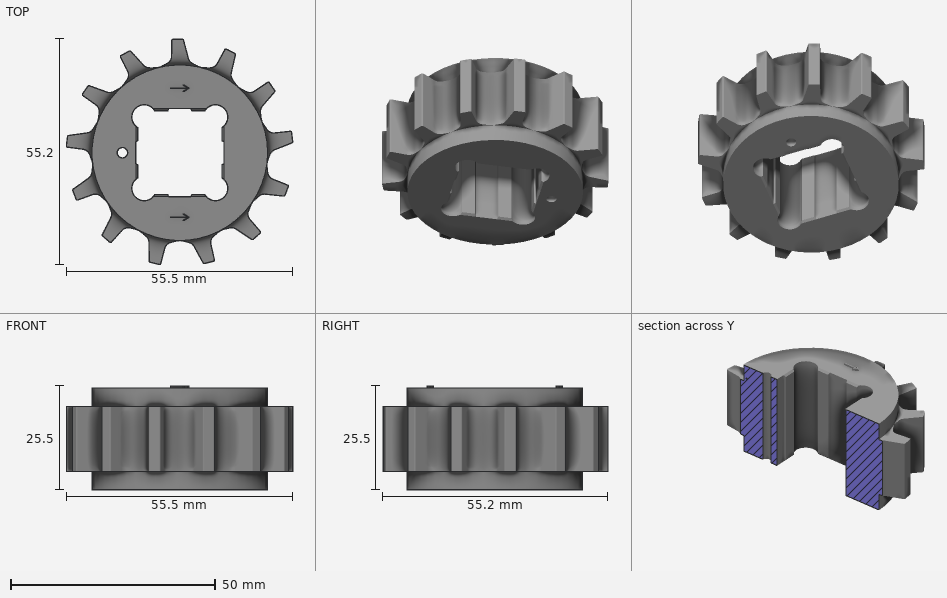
import cadquery as cq
import math

hub_radius = 21.5
hub_height = 25.0
hub_top = hub_height / 2

tooth_count = 13
tooth_pitch = 360 / tooth_count
ring_height = 16.0
tip_radius = 27.8
tip_round = 0.35

drive_flank_tip = 1.98
drive_flank_lean = 0.85
back_flank_tip = 0.87
back_flank_lean = 14.8

gullet_floor_radius = 21.54
gullet_ramp_angle = 13.6
gullet_floor_round = 3.5
gullet_root_round = 2.0

bore_width = 21.55
relief_radius = 3.0
relief_centre = 8.72

pad_depth = 0.5
pad_inner_edge = 2.65
pad_side_slope = 0.3
pad_end_drop = 0.5

index_hole_diameter = 2.5
index_hole_x = -14.05

arrow_length = 4.6
arrow_offset = 15.8
arrow_stroke = 0.2
arrow_barb_thickness = 0.3
arrow_barb_reach = 1.2
arrow_barb_spread = 0.75
arrow_height = 0.5


def tan_deg(angle):
    return math.tan(math.radians(angle))


def turned(point, angle):
    """Turn a point about the axis, counterclockwise in degrees."""
    x, y = point
    c = math.cos(math.radians(angle))
    s = math.sin(math.radians(angle))
    return (x * c - y * s, x * s + y * c)


gullet_apex_radius = gullet_floor_radius - gullet_floor_round * (
    1 / math.cos(math.radians(gullet_ramp_angle)) - 1
)


def root_corner(flank_tip, flank_lean):
    """Where a flank on the +X side of the tooth axis meets the gullet ramp."""
    apex_x, apex_y = turned((0, gullet_apex_radius), -tooth_pitch / 2)
    ramp_slope = tan_deg(gullet_ramp_angle + tooth_pitch / 2)
    flank_slope = tan_deg(flank_lean)
    flank_axis_gap = flank_tip + tip_radius * flank_slope
    y = (apex_y + (apex_x - flank_axis_gap) * ramp_slope) / (1 - flank_slope * ramp_slope)
    return (flank_axis_gap - y * flank_slope, y)


def round_edges(body, inner_radius, outer_radius, radius):
    """Fillet the axial corner edges between two distances from the axis."""
    corners = body.edges("|Z").filter(
        lambda edge: inner_radius < math.hypot(edge.Center().x, edge.Center().y) < outer_radius
    )
    return corners.fillet(radius)


def make_toothed_ring():
    drive_x, drive_y = root_corner(drive_flank_tip, drive_flank_lean)
    tooth = [
        root_corner(back_flank_tip, back_flank_lean),
        (back_flank_tip, tip_radius),
        (-drive_flank_tip, tip_radius),
        (-drive_x, drive_y),
        turned((0, gullet_apex_radius), tooth_pitch / 2),
    ]
    outline = []
    for i in range(tooth_count):
        outline += [turned(point, i * tooth_pitch) for point in tooth]
    ring = cq.Workplane("XY").polyline(outline).close().extrude(ring_height / 2, both=True)

    tip_zone = (tip_radius + hub_radius) / 2
    ring = round_edges(ring, tip_zone, math.inf, tip_round)
    ring = round_edges(ring, gullet_floor_radius, tip_zone, gullet_root_round)
    return round_edges(ring, 0, gullet_floor_radius, gullet_floor_round)


def make_pad():
    """One pad on the +X wall, on its +Y half; the ends are bevelled toward the wall."""
    wall_x = bore_width / 2
    face_x = wall_x - pad_depth
    side = (
        cq.Workplane("XY")
        .moveTo(wall_x + pad_depth, pad_inner_edge)
        .lineTo(wall_x, pad_inner_edge)
        .lineTo(face_x, pad_inner_edge + pad_side_slope)
        .lineTo(face_x, relief_centre)
        .lineTo(wall_x + pad_depth, relief_centre)
        .close()
        .extrude(hub_top, both=True)
    )
    profile = (
        cq.Workplane("XZ")
        .moveTo(wall_x + pad_depth, -hub_top)
        .lineTo(wall_x, -hub_top)
        .lineTo(face_x, -hub_top + pad_end_drop)
        .lineTo(face_x, hub_top - pad_end_drop)
        .lineTo(wall_x, hub_top)
        .lineTo(wall_x + pad_depth, hub_top)
        .close()
        .extrude(-relief_centre)
    )
    return side.intersect(profile)


def make_bore():
    bore = cq.Workplane("XY").rect(bore_width, bore_width).extrude(hub_top, both=True)
    pad = make_pad()
    for wall in range(4):
        for each in (pad, pad.mirror("XZ")):
            bore = bore.cut(each.rotate((0, 0, 0), (0, 0, 1), wall * 90))
    reliefs = (
        cq.Workplane("XY")
        .rect(2 * relief_centre, 2 * relief_centre, forConstruction=True)
        .vertices()
        .circle(relief_radius)
        .extrude(hub_top, both=True)
    )
    return bore.union(reliefs)


def make_index_hole():
    return (
        cq.Workplane("XY")
        .center(index_hole_x, 0)
        .circle(index_hole_diameter / 2)
        .extrude(hub_top, both=True)
    )


def make_arrow(y):
    """Raised arrow pointing along +X."""
    tip_x = arrow_length / 2
    plane = cq.Workplane("XY", origin=(0, y, hub_top))
    arrow = (
        plane.moveTo(-tip_x, -arrow_stroke / 2)
        .lineTo(tip_x - arrow_barb_thickness, -arrow_stroke / 2)
        .lineTo(tip_x - arrow_barb_thickness, arrow_stroke / 2)
        .lineTo(-tip_x, arrow_stroke / 2)
        .close()
        .extrude(arrow_height)
    )
    for side in (1, -1):
        barb = (
            plane.moveTo(tip_x, 0)
            .lineTo(tip_x - arrow_barb_reach, side * arrow_barb_spread)
            .lineTo(tip_x - arrow_barb_reach - arrow_barb_thickness, side * arrow_barb_spread)
            .lineTo(tip_x - arrow_barb_thickness, 0)
            .close()
            .extrude(arrow_height)
        )
        arrow = arrow.union(barb)
    return arrow


result = cq.Workplane("XY").circle(hub_radius).extrude(hub_top, both=True)
result = result.union(make_toothed_ring())
result = result.cut(make_bore())
result = result.cut(make_index_hole())
for y in (arrow_offset, -arrow_offset):
    result = result.union(make_arrow(y))